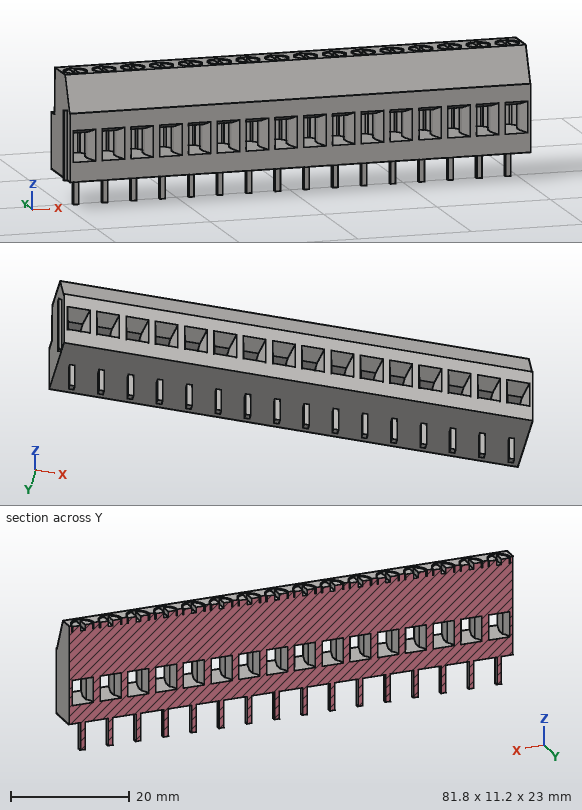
import cadquery as cq
import math

pole_count = 16
overall_length = 81.85
rib_thickness = 0.6
body_length = overall_length - rib_thickness
body_depth = 11.2
body_height = 18.0
pitch = body_length / pole_count

nose_height = 11.9
nose_ledge = 0.29
top_front = 2.95
back_step = 2.0
back_lean = 0.25
step_back = body_depth - back_step
top_back = step_back - back_lean
step_height = 9.8

rib_front = 1.5
rib_width = 0.7
rib_root_width = 0.25
rib_height = 12.1

screw_y = 5.5
screw_diameter = 3.8
screw_hole_diameter = 4.0
screw_recess = 0.2
slot_width = 0.7
slot_depth = 1.0

entry_width = 3.9
entry_height = 5.5
entry_floor = 3.4
throat_width = 2.5
throat_height = 4.5
funnel_depth = 2.5
well_diameter = screw_diameter
well_opening = 1.8
throat_depth = screw_y + math.sqrt(well_diameter**2 - well_opening**2) / 2

pin_y = 5.2
pin_width = 0.9
pin_length = 5.0


def box(x_size, y_size, z_size, x, y, z):
    """Box centred on x, starting at y and z."""
    return cq.Workplane("XY").box(x_size, y_size, z_size, centered=(True, False, False)).translate((x, y, z))


def make_housing():
    """End profile swept along the full row of poles."""
    outline = [
        (0, 0),
        (body_depth, 0),
        (body_depth, step_height),
        (step_back, step_height),
        (top_back, body_height),
        (top_front, body_height),
        (nose_ledge, nose_height),
        (0, nose_height),
    ]
    return cq.Workplane("YZ").polyline(outline).close().extrude(body_length)


def make_rib():
    """Dovetail rib, narrowest where it meets the housing."""
    rib_y = rib_front + rib_width / 2
    outline = [
        (-rib_thickness, rib_y - rib_width / 2),
        (0, rib_y - rib_root_width / 2),
        (0, rib_y + rib_root_width / 2),
        (-rib_thickness, rib_y + rib_width / 2),
    ]
    return cq.Workplane("XY").polyline(outline).close().extrude(rib_height)


def make_wire_entry(x):
    """Cavity of one wire entry; the funnel narrows on three sides and keeps a flat floor."""
    funnel = (
        cq.Workplane("XZ", origin=(x, 0, entry_floor + entry_height / 2))
        .rect(entry_width, entry_height)
        .workplane(offset=-funnel_depth)
        .center(0, (throat_height - entry_height) / 2)
        .rect(throat_width, throat_height)
        .loft(ruled=True)
    )
    throat = box(throat_width, throat_depth, throat_height, x, 0, entry_floor)
    well = (
        cq.Workplane("XY", origin=(x, screw_y, entry_floor))
        .circle(well_diameter / 2)
        .extrude(throat_height)
    )
    return funnel.union(throat).union(well)


def make_screw_hole(x):
    """Space around one slotted screw head: recess above it, clearance ring and driver slot."""
    hole_depth = screw_recess + slot_depth
    hole_floor = cq.Workplane("XY", origin=(x, screw_y, body_height - hole_depth))
    hole = hole_floor.circle(screw_hole_diameter / 2).extrude(hole_depth)
    head = hole_floor.circle(screw_diameter / 2).extrude(slot_depth)
    slot = hole_floor.rect(slot_width, screw_diameter).extrude(slot_depth)
    return hole.cut(head.cut(slot))


def make_pin(x):
    """Square pin below the housing."""
    return box(pin_width, pin_width, pin_length, x, pin_y - pin_width / 2, -pin_length)


result = make_housing().union(make_rib())
for pole in range(pole_count):
    pole_x = (pole + 0.5) * pitch
    result = result.cut(make_wire_entry(pole_x))
    result = result.cut(make_screw_hole(pole_x))
    result = result.union(make_pin(pole_x))